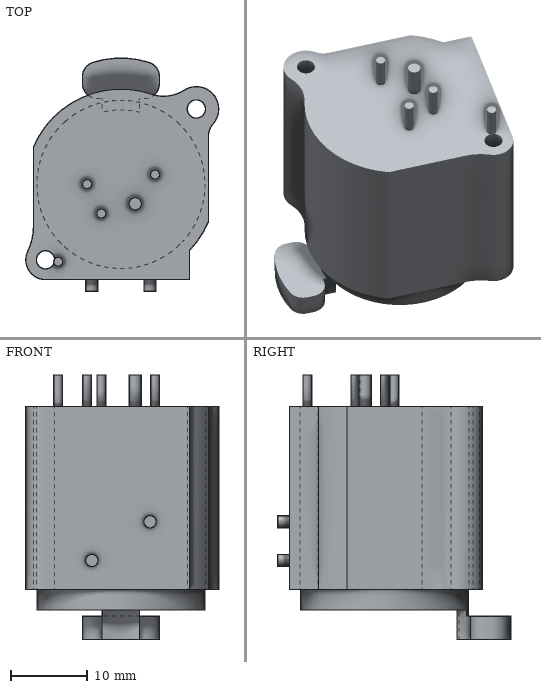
import cadquery as cq
import math


total_height = 34.7
body_top = 30.57
body_bottom = 6.55
boss_bottom = 3.85
paddle_top = 3.05

body_radius = 12.5
side_x = 11.5
front_y = -12.5
notch_x = 9.02
lug_offset = 9.9
front_lug_radius = -lug_offset - front_y
rear_lug_radius = 2.95
lug_hole_radius = 1.18
front_blend_radius = 7.5
rear_side_blend_radius = 2.5
rear_top_blend_radius = 5.0

boss_radius = 11.05
neck_inner_radius = 9.8
neck_width = 4.93
paddle_width = 10.13
paddle_inner_y = 11.25
paddle_outer_y = 16.6
paddle_corner_radius = 2.0
paddle_crown_radius = 12.15

thin_pin_radius = 0.6
thick_pin_radius = 0.8
thin_pin_places = [(-4.45, 0.05), (4.48, 1.3), (-2.57, -3.8), (-8.22, -10.13)]
thick_pin_place = (1.87, -2.55)
front_pin_places = [(-3.8, 10.38), (3.8, 15.45)]
front_pin_length = 1.53


def toward(start, target, distance):
    """Point at the given distance from start, on the line to target."""
    span = math.dist(start, target)
    return tuple(s + (t - s) * distance / span for s, t in zip(start, target))


def arc_middle(center, start, end):
    """Middle of the shorter arc about center from start to end."""
    chord_middle = tuple((s + e) / 2 for s, e in zip(start, end))
    return toward(center, chord_middle, math.dist(center, start))


def prism(outline, bottom, top):
    return outline.close().extrude(top - bottom).translate((0, 0, bottom))


def make_body():
    front_lug = (-lug_offset, -lug_offset)
    rear_lug = (lug_offset, lug_offset)
    side_inset = side_x - lug_offset

    reach = front_blend_radius + front_lug_radius
    rise = math.sqrt(reach**2 - (front_blend_radius + side_inset) ** 2)
    front_blend = (-side_x - front_blend_radius, -lug_offset + rise)
    front_blend_start = (-side_x, front_blend[1])
    front_blend_end = toward(front_lug, front_blend, front_lug_radius)

    reach = rear_side_blend_radius + rear_lug_radius
    drop = math.sqrt(reach**2 - (rear_side_blend_radius + side_inset) ** 2)
    side_blend = (side_x + rear_side_blend_radius, lug_offset - drop)
    side_blend_start = (side_x, side_blend[1])
    side_blend_end = toward(rear_lug, side_blend, rear_lug_radius)

    axis = (0, 0)
    axis_to_blend = body_radius + rear_top_blend_radius
    lug_to_blend = rear_lug_radius + rear_top_blend_radius
    axis_to_lug = math.hypot(*rear_lug)
    cosine = (axis_to_blend**2 + axis_to_lug**2 - lug_to_blend**2) / (2 * axis_to_blend * axis_to_lug)
    blend_angle = math.radians(45) + math.acos(cosine)
    top_blend = (axis_to_blend * math.cos(blend_angle), axis_to_blend * math.sin(blend_angle))
    top_blend_start = toward(rear_lug, top_blend, rear_lug_radius)
    top_blend_end = toward(axis, top_blend, body_radius)

    side_end_y = math.sqrt(body_radius**2 - side_x**2)
    notch_y = -math.sqrt(body_radius**2 - notch_x**2)
    side_end = (side_x, -side_end_y)
    rear_arc_end = (-side_x, side_end_y)
    front_lug_middle = toward(front_lug, (2 * front_lug[0], 2 * front_lug[1]), front_lug_radius)
    rear_lug_middle = toward(rear_lug, (2 * rear_lug[0], 2 * rear_lug[1]), rear_lug_radius)

    outline = (
        cq.Workplane("XY")
        .moveTo(-lug_offset, front_y)
        .lineTo(notch_x, front_y)
        .lineTo(notch_x, notch_y)
        .threePointArc(arc_middle(axis, (notch_x, notch_y), side_end), side_end)
        .lineTo(*side_blend_start)
        .threePointArc(arc_middle(side_blend, side_blend_start, side_blend_end), side_blend_end)
        .threePointArc(rear_lug_middle, top_blend_start)
        .threePointArc(arc_middle(top_blend, top_blend_start, top_blend_end), top_blend_end)
        .threePointArc(arc_middle(axis, top_blend_end, rear_arc_end), rear_arc_end)
        .lineTo(*front_blend_start)
        .threePointArc(arc_middle(front_blend, front_blend_start, front_blend_end), front_blend_end)
        .threePointArc(front_lug_middle, (-lug_offset, front_y))
    )
    return prism(outline, body_bottom, body_top)


def make_boss():
    boss = cq.Workplane("XY").circle(boss_radius).extrude(body_bottom - boss_bottom)
    return boss.translate((0, 0, boss_bottom))


def cut_lug_holes(solid):
    """Holes through the full height of both lugs."""
    places = [(-lug_offset, -lug_offset), (lug_offset, lug_offset)]
    return solid.cut(cq.Workplane("XY").pushPoints(places).circle(lug_hole_radius).extrude(total_height))


def make_neck():
    """Curved wall hanging from the rim of the boss, with a straight bridge to the paddle."""
    wall = cq.Workplane("XY").circle(boss_radius).circle(neck_inner_radius).extrude(boss_bottom)
    strip = cq.Workplane("XY").rect(neck_width, paddle_outer_y).extrude(boss_bottom)
    strip = strip.translate((0, paddle_outer_y / 2, 0))
    wall = wall.intersect(strip)
    bridge_start = (neck_inner_radius + boss_radius) / 2
    bridge = (
        cq.Workplane("XY")
        .rect(neck_width, paddle_inner_y - bridge_start)
        .extrude(paddle_top)
        .translate((0, (paddle_inner_y + bridge_start) / 2, 0))
    )
    return wall.union(bridge)


def make_paddle():
    half_width = paddle_width / 2
    corner_x = half_width - paddle_corner_radius
    lower_corner_y = paddle_inner_y + paddle_corner_radius
    crown_center = (0, paddle_outer_y - paddle_crown_radius)
    crown_reach = paddle_crown_radius - paddle_corner_radius
    upper_corner_y = crown_center[1] + math.sqrt(crown_reach**2 - corner_x**2)
    crown_x, crown_y = toward(crown_center, (corner_x, upper_corner_y), paddle_crown_radius)

    def corner_arc(sketch, side, center_y, start, end):
        middle = arc_middle((side * corner_x, center_y), start, end)
        return sketch.threePointArc(middle, end)

    outline = cq.Workplane("XY").moveTo(-corner_x, paddle_inner_y).lineTo(corner_x, paddle_inner_y)
    outline = corner_arc(outline, 1, lower_corner_y, (corner_x, paddle_inner_y), (half_width, lower_corner_y))
    outline = outline.lineTo(half_width, upper_corner_y)
    outline = corner_arc(outline, 1, upper_corner_y, (half_width, upper_corner_y), (crown_x, crown_y))
    outline = outline.threePointArc((0, paddle_outer_y), (-crown_x, crown_y))
    outline = corner_arc(outline, -1, upper_corner_y, (-crown_x, crown_y), (-half_width, upper_corner_y))
    outline = outline.lineTo(-half_width, lower_corner_y)
    outline = corner_arc(outline, -1, lower_corner_y, (-half_width, lower_corner_y), (-corner_x, paddle_inner_y))
    return prism(outline, 0, paddle_top)


def make_top_pins():
    pins = cq.Workplane("XY", origin=(0, 0, body_top))
    pin_length = total_height - body_top
    thin_pins = pins.pushPoints(thin_pin_places).circle(thin_pin_radius).extrude(pin_length)
    thick_pin = pins.center(*thick_pin_place).circle(thick_pin_radius).extrude(pin_length)
    return thin_pins.union(thick_pin)


def make_front_pins():
    face = cq.Workplane("XZ", origin=(0, front_y, 0))
    return face.pushPoints(front_pin_places).circle(thick_pin_radius).extrude(front_pin_length)


result = cut_lug_holes(make_body().union(make_boss()))
for feature in (make_neck(), make_paddle(), make_top_pins(), make_front_pins()):
    result = result.union(feature)